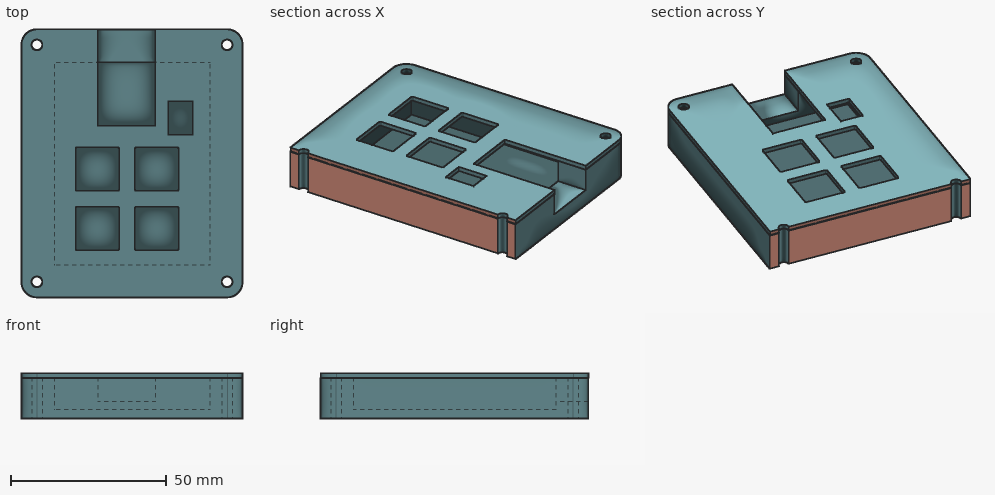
import cadquery as cq

OUTLINE_X = 71.0
OUTLINE_Y = 86.0
CORNER_RADIUS = 5.0
LID_SHIFT_X = 0.01
LID_SHIFT_Y = 0.08

CASE_HEIGHT = 13.0
LID_THICKNESS = 1.5
LID_GAP = 0.05
FLOOR_THICKNESS = 3.0

SCREW_HOLE_DIAMETER = 3.4
SCREW_SPACING_X = OUTLINE_X - 2 * CORNER_RADIUS
SCREW_SPACING_Y = OUTLINE_Y - 2 * CORNER_RADIUS

WALL = 10.5
CAVITY_X = OUTLINE_X - 2 * WALL
CAVITY_Y = OUTLINE_Y - 2 * WALL

NOTCH_WIDTH = 18.5
NOTCH_CENTER_X = -1.75
NOTCH_LENGTH_IN_LID = 30.9
NOTCH_FLOOR_Z = 5.5

KEY_SIZE = 14.0
KEY_CORNER_RADIUS = 0.5
KEY_PITCH = 19.05
KEY_GRID_CENTER_X = -1.6
KEY_GRID_CENTER_Y = -11.4

WINDOW_X = 7.8
WINDOW_Y = 10.6
WINDOW_CENTER = (15.6, 14.5)


def rounded_slab(height):
    """Slab with rounded corners and a screw hole in each corner, standing on Z = 0."""
    slab = cq.Workplane("XY").rect(OUTLINE_X, OUTLINE_Y).extrude(height).edges("|Z").fillet(CORNER_RADIUS)
    screw_holes = (
        cq.Workplane("XY")
        .rect(SCREW_SPACING_X, SCREW_SPACING_Y, forConstruction=True)
        .vertices()
        .circle(SCREW_HOLE_DIAMETER / 2)
        .extrude(height)
    )
    return slab.cut(screw_holes)


def notch_cutter(length, bottom, top):
    """Block that opens the +Y edge of a slab over the given length."""
    return (
        cq.Workplane("XY", origin=(NOTCH_CENTER_X, OUTLINE_Y / 2 - length / 2, bottom))
        .rect(NOTCH_WIDTH, length)
        .extrude(top - bottom)
    )


def make_case():
    cavity = (
        cq.Workplane("XY", origin=(0, 0, FLOOR_THICKNESS))
        .rect(CAVITY_X, CAVITY_Y)
        .extrude(CASE_HEIGHT - FLOOR_THICKNESS)
    )
    notch = notch_cutter(WALL, NOTCH_FLOOR_Z, CASE_HEIGHT)
    return rounded_slab(CASE_HEIGHT).cut(cavity).cut(notch)


def make_lid():
    key_openings = (
        cq.Workplane("XY", origin=(KEY_GRID_CENTER_X, KEY_GRID_CENTER_Y, 0))
        .rarray(KEY_PITCH, KEY_PITCH, 2, 2)
        .rect(KEY_SIZE, KEY_SIZE)
        .extrude(LID_THICKNESS)
        .edges("|Z")
        .fillet(KEY_CORNER_RADIUS)
    )
    window = cq.Workplane("XY").center(*WINDOW_CENTER).rect(WINDOW_X, WINDOW_Y).extrude(LID_THICKNESS)
    notch = notch_cutter(NOTCH_LENGTH_IN_LID, 0, LID_THICKNESS)
    lid = rounded_slab(LID_THICKNESS).cut(key_openings).cut(window).cut(notch)
    return lid.translate((LID_SHIFT_X, LID_SHIFT_Y, CASE_HEIGHT + LID_GAP))


case = make_case()
lid = make_lid()

result = cq.Compound.makeCompound([case.val(), lid.val()])